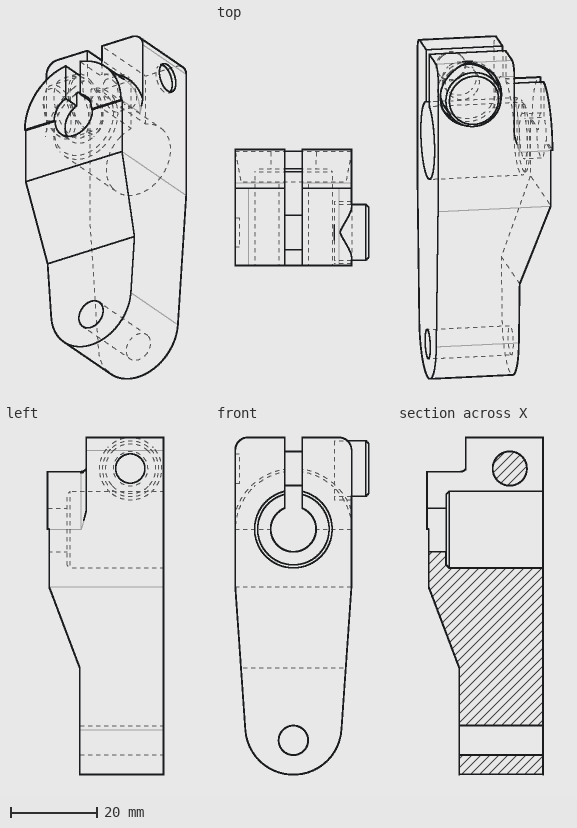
import cadquery as cq
import math


width = 27.0
half_width = width / 2
top_z = 21.3
bottom_z = -57.0
top_corner_radius = 3.0
taper_start_z = -13.4
end_radius = 11.2

clamp_thickness = 18.0
hub_thickness = 26.6
end_thickness = 19.5
slope_end_z = -32.2

boss_radius = half_width
boss_back_y = 27.0
boss_fillet_radius = 1.5
boss_fillet_end_y = 19.2

bore_diameter = 18.0
bore_floor_y = 22.5
bore_chamfer = 0.7
through_diameter = 10.5
slot_width = 4.0

end_hole_z = -49.0
end_hole_diameter = 6.8

screw_y = 7.75
screw_z = 14.05
screw_diameter = 8.0
screw_hole_diameter = 6.8
screw_hole_depth = 1.0
head_diameter = 13.0
head_height = 8.0
head_chamfer = 0.7
head_projection = 4.0
head_pocket_diameter = 14.45
head_seat_x = half_width + head_projection - head_height


def cylinder_y(diameter, start_y, end_y, z=0.0):
    """Cylinder along +Y on the centre plane x = 0."""
    return cq.Workplane(cq.Solid.makeCylinder(
        diameter / 2, end_y - start_y, cq.Vector(0, start_y, z), cq.Vector(0, 1, 0)))


def cylinder_x(diameter, start_x, end_x):
    """Cylinder along +X on the screw axis."""
    return cq.Workplane(cq.Solid.makeCylinder(
        diameter / 2, end_x - start_x, cq.Vector(start_x, screw_y, screw_z), cq.Vector(1, 0, 0)))


def cone_y(start_diameter, end_diameter, start_y, end_y):
    """Truncated cone along +Y on the bore axis."""
    return cq.Workplane(cq.Solid.makeCone(
        start_diameter / 2, end_diameter / 2, end_y - start_y,
        cq.Vector(0, start_y, 0), cq.Vector(0, 1, 0)))


def outline_prism():
    """Lever outline extruded back from the front face to the boss back."""
    end_center_z = bottom_z + end_radius
    drop = taper_start_z - end_center_z
    tangent_angle = math.atan2(drop, half_width) - math.acos(end_radius / math.hypot(half_width, drop))
    tangent_x = end_radius * math.cos(tangent_angle)
    tangent_z = end_center_z + end_radius * math.sin(tangent_angle)
    return (
        cq.Workplane("XZ")
        .moveTo(-half_width, taper_start_z)
        .lineTo(-half_width, top_z - top_corner_radius)
        .radiusArc((-half_width + top_corner_radius, top_z), top_corner_radius)
        .lineTo(half_width - top_corner_radius, top_z)
        .radiusArc((half_width, top_z - top_corner_radius), top_corner_radius)
        .lineTo(half_width, taper_start_z)
        .lineTo(tangent_x, tangent_z)
        .threePointArc((0, bottom_z), (-tangent_x, tangent_z))
        .close()
        .extrude(-boss_back_y)
    )


def side_prism():
    """Stepped and sloped thickness profile extruded across the width."""
    return (
        cq.Workplane("YZ")
        .polyline([
            (0, bottom_z),
            (end_thickness, bottom_z),
            (end_thickness, slope_end_z),
            (hub_thickness, taper_start_z),
            (hub_thickness, 0),
            (clamp_thickness, 0),
            (clamp_thickness, top_z),
            (0, top_z),
        ])
        .close()
        .extrude(half_width, both=True)
    )


def boss():
    """Upper half of the round boss, flaring into the clamp face, trimmed to the lever width."""
    flare_run = boss_fillet_end_y - clamp_thickness
    flare_rise = boss_fillet_radius - math.sqrt(boss_fillet_radius**2 - flare_run**2)
    half_turn = (
        cq.Workplane("XY")
        .moveTo(0, clamp_thickness)
        .lineTo(boss_radius + flare_rise, clamp_thickness)
        .radiusArc((boss_radius, boss_fillet_end_y), boss_fillet_radius)
        .lineTo(boss_radius, boss_back_y)
        .lineTo(0, boss_back_y)
        .close()
        .revolve(180, (0, 0, 0), (0, -1, 0))
    )
    return half_turn.intersect(outline_prism())


def stepped_bore():
    """Large bore from the front with a bevelled floor, and a smaller hole on through."""
    bevel_y = bore_floor_y - bore_chamfer
    return (
        cylinder_y(bore_diameter, 0, bevel_y)
        .union(cone_y(bore_diameter, bore_diameter - 2 * bore_chamfer, bevel_y, bore_floor_y))
        .union(cylinder_y(through_diameter, 0, boss_back_y))
    )


def clamp_slot():
    """Slot from the bore axis up through the top."""
    return cq.Workplane("XY").box(
        slot_width, boss_back_y, top_z, centered=(True, False, False))


def screw():
    """Cap screw with a chamfered head rim; its tip is fused into the -X side."""
    shank = cylinder_x(screw_diameter, -half_width + screw_hole_depth, head_seat_x)
    head = cylinder_x(head_diameter, head_seat_x, half_width + head_projection)
    return shank.union(head.faces(">X").chamfer(head_chamfer))


lever = outline_prism().intersect(side_prism()).union(boss())
lever = lever.cut(stepped_bore()).cut(clamp_slot())
lever = lever.cut(cylinder_y(end_hole_diameter, 0, end_thickness, end_hole_z))
lever = lever.cut(cylinder_x(screw_hole_diameter, -half_width, -half_width + screw_hole_depth))
lever = lever.cut(cylinder_x(head_pocket_diameter, head_seat_x, half_width))
result = lever.union(screw())